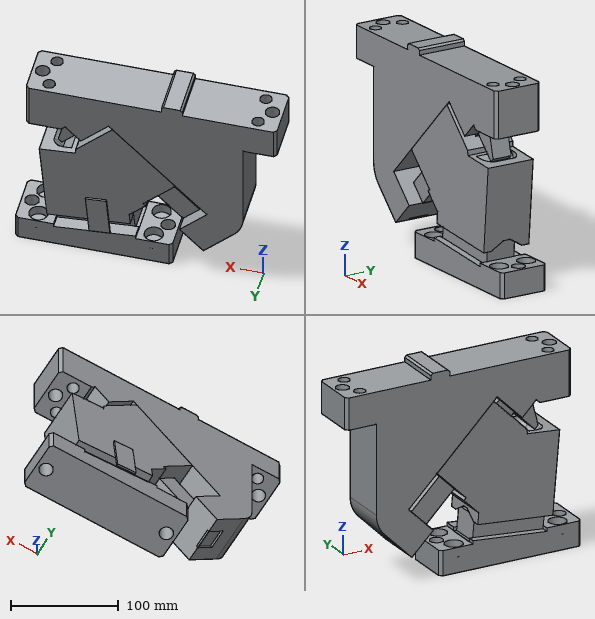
import cadquery as cq
import math


width = 50.0
corner_chamfer = 3.0
hole_row_offset = 15.0
small_hole_inset = 20.0
pin_hole_inset = 10.0
pin_hole_diameter = 13.2

slide_x = 66.5
slide_z = 74.5
slide_angle = math.radians(45)
slide_length = 133.0

press_x = 139.8
press_z = 44.0
press_tilt = math.radians(5)

holder_length = 239.8
holder_top = 200.0
left_flange_thickness = 32.5
right_flange_thickness = 46.8
leg_x = 32.0
leg_radius = 30.0
foot_thickness = 32.2
foot_depth = 37.0
mouth_depth = 37.5
key_center_x = 100.0
key_width = 20.0
key_height = 6.5
key_chamfer = 2.0
holder_hole_diameter = 11.2
nose_length = 21.2
nose_step = 3.5

bar_top_depth = 15.0
bar_width = 20.0
bar_end_recess = 2.2
bar_floor_depth = 36.5
lug_tip_depth = 68.2
lug_tip_length = 5.0

slider_start = 42.5
slider_end = 127.8
step_depth = 43.5
step_out = 3.2
shoulder_depth = 49.8
shoulder_along = 45.5
slider_length = 80.0
slider_height = 85.0
relief_floor_depth = 72.0
relief_width = 37.5
relief_radius = 10.0
stop_plate_along = 20.2
stop_plate_width = 20.0
stop_plate_bottom = -13.8
stop_plate_height = 41.8
stop_plate_thickness = 2.0

base_left = 99.8
base_right = 250.0
base_height = 25.5
pad_left = 134.8
ridge_length = 75.0
pad_drop = 15.5
ridge_root = -19.2
v_half_width = 17.8
ridge_width = 30.0
flank_angle = math.radians(32)
ridge_flank_start = -0.5
ridge_top = 6.0
groove_top = 8.5
relief_channel_floor = 25.0
screw_hole_diameter = 17.8
screw_hole_depth = 10.0


def slide_point(along, depth):
    """X, Z of a point given along the slide and square to it, away from the holder."""
    x = slide_x + along * math.cos(slide_angle) + depth * math.sin(slide_angle)
    z = slide_z + along * math.sin(slide_angle) - depth * math.cos(slide_angle)
    return x, z


def press_point(along, height):
    """X, Z of a point given along the slider's underside and square to it."""
    x = press_x + along * math.cos(press_tilt) + height * math.sin(press_tilt)
    z = press_z - along * math.sin(press_tilt) + height * math.cos(press_tilt)
    return x, z


def plate(points, thickness):
    """Prism of an X-Z outline, centred on the middle of the width."""
    return cq.Workplane("XZ").polyline(points).close().extrude(thickness / 2, both=True)


def slide_box(start, end, top, bottom, thickness):
    """Box lined up with the slide."""
    corners = [(start, top), (end, top), (end, bottom), (start, bottom)]
    return plate([slide_point(*corner) for corner in corners], thickness)


def vertical_holes(centers, diameter, top, depth):
    """Cylinders going down from the given top level."""
    return cq.Workplane("XY", origin=(0, 0, top)).pushPoints(centers).circle(diameter / 2).extrude(-depth)


def hole_pair(x):
    """Centres of two screw holes placed evenly about the middle of the width."""
    return [(x, -hole_row_offset), (x, hole_row_offset)]


def extrude_along_ridge(section, length):
    """Prism of a section given across the width and square to the slider's underside."""
    direction = (math.cos(press_tilt), 0, -math.sin(press_tilt))
    plane = cq.Plane(origin=(press_x, 0, press_z), xDir=(0, 1, 0), normal=direction)
    return cq.Workplane(plane).polyline(section).close().extrude(length)


def v_prism(top, bottom, length):
    """Prism with straight sides, sloping flanks and a flat top."""
    half = v_half_width
    top_half = half - (top - ridge_flank_start) / math.tan(flank_angle)
    section = [
        (-half, bottom),
        (half, bottom),
        (half, ridge_flank_start),
        (top_half, top),
        (-top_half, top),
        (-half, ridge_flank_start),
    ]
    return extrude_along_ridge(section, length)


def make_key():
    """Cross key with chamfered top edges."""
    half = key_width / 2
    top = holder_top + key_height
    outline = [
        (key_center_x - half, holder_top),
        (key_center_x - half, top - key_chamfer),
        (key_center_x - half + key_chamfer, top),
        (key_center_x + half - key_chamfer, top),
        (key_center_x + half, top - key_chamfer),
        (key_center_x + half, holder_top),
    ]
    return plate(outline, width)


def make_lug():
    """Wedge under the holder's nose that backs up the end of the guide bar."""
    nose_end = slide_length + nose_length
    corners = [
        (slide_length, mouth_depth),
        (nose_end, mouth_depth),
        (nose_end, mouth_depth + nose_step),
        (slide_length + lug_tip_length, lug_tip_depth),
        (slide_length, lug_tip_depth),
    ]
    return plate([slide_point(*corner) for corner in corners], bar_width)


def make_holder():
    """Upper body with its foot, key, lug and guide bar."""
    left_flange_bottom = holder_top - left_flange_thickness
    right_flange_bottom = holder_top - right_flange_thickness
    tip_x, tip_z = slide_point(-foot_thickness, foot_depth)
    nose_x, nose_z = slide_point(slide_length + nose_length, mouth_depth)
    outline = [
        (0, holder_top),
        (0, left_flange_bottom),
        (leg_x, left_flange_bottom),
        (leg_x, tip_z + tip_x - leg_x),
        (tip_x, tip_z),
        slide_point(0, foot_depth),
        slide_point(0, 0),
        slide_point(slide_length, 0),
        slide_point(slide_length, mouth_depth),
        (nose_x, nose_z),
        (nose_x + nose_z - right_flange_bottom, right_flange_bottom),
        (holder_length, right_flange_bottom),
        (holder_length, holder_top),
    ]
    body = plate(outline, width)
    bend = cq.selectors.NearestToPointSelector((leg_x, 0, tip_z + tip_x - leg_x))
    body = body.edges("|Y").edges(bend).fillet(leg_radius)
    body = body.faces("<X or >X").edges("|Z").chamfer(corner_chamfer)

    body = body.union(make_key()).union(make_lug())
    body = body.union(slide_box(0, slide_length, bar_top_depth, mouth_depth, bar_width))
    pocket_end = bar_end_recess - foot_thickness
    body = body.cut(slide_box(-foot_thickness, pocket_end, bar_top_depth, bar_floor_depth, bar_width))

    ends = [(0, 1), (holder_length, -1)]
    for end_x, inward in ends:
        screws = hole_pair(end_x + inward * small_hole_inset)
        pin = [(end_x + inward * pin_hole_inset, 0)]
        body = body.cut(vertical_holes(screws, holder_hole_diameter, holder_top, right_flange_thickness))
        body = body.cut(vertical_holes(pin, pin_hole_diameter, holder_top, right_flange_thickness))
    return body


def make_lug_relief():
    """Round-bottomed trough in the slider's shoulder that clears the holder's lug."""
    end = slide_length + nose_length
    trough = slide_box(slider_end, end, mouth_depth, relief_floor_depth, relief_width)
    floor = cq.selectors.DirectionMinMaxSelector(cq.Vector(1, 0, -1), True)
    along_slide = cq.selectors.ParallelDirSelector(cq.Vector(1, 0, 1))
    return trough.faces(floor).edges(along_slide).fillet(relief_radius)


def make_slider():
    """Sliding block with its bar slot, V-groove and a stop plate on the back."""
    step_along = slider_start - step_out
    origin_along = (press_x - slide_x) * math.cos(slide_angle) + (press_z - slide_z) * math.sin(slide_angle)
    left_height = (step_along - origin_along) / math.sin(slide_angle + press_tilt)
    outline = [
        slide_point(slider_start, 0),
        slide_point(slider_end, 0),
        slide_point(slider_end, shoulder_depth),
        press_point(shoulder_along, slider_height),
        press_point(slider_length, slider_height),
        press_point(slider_length, 0),
        press_point(0, 0),
        press_point(0, left_height),
        slide_point(step_along, step_depth),
        slide_point(slider_start, step_depth),
    ]
    body = plate(outline, width)

    body = body.cut(slide_box(0, slide_length, bar_top_depth, mouth_depth, bar_width))

    body = body.cut(make_lug_relief())
    body = body.cut(v_prism(groove_top, -pad_drop, slider_length))

    stop_right = stop_plate_along + stop_plate_width
    stop_top = stop_plate_bottom + stop_plate_height
    stop_outline = [
        press_point(stop_plate_along, stop_plate_bottom),
        press_point(stop_right, stop_plate_bottom),
        press_point(stop_right, stop_top),
        press_point(stop_plate_along, stop_top),
    ]
    stop = cq.Workplane("XZ", origin=(0, width / 2, 0)).polyline(stop_outline).close()
    return body.union(stop.extrude(-stop_plate_thickness))


def make_base():
    """Base block with a tilted pad, a narrower V-ridge set on it and mounting holes."""
    pad_start = (pad_left - press_point(0, -pad_drop)[0]) / math.cos(press_tilt)
    pad_end = press_point(ridge_length, -pad_drop)
    outline = [
        (base_left, 0),
        (base_right, 0),
        (base_right, base_height),
        (pad_end[0], base_height),
        pad_end,
        press_point(pad_start, -pad_drop),
        (pad_left, base_height),
        (base_left, base_height),
    ]
    body = plate(outline, width)
    body = body.faces("<X or >X").edges("|Z").chamfer(corner_chamfer)

    ridge_front = -v_half_width
    ridge_back = ridge_front + ridge_width
    channel_length = press_x - pad_left
    channel = cq.Workplane("XY", origin=(pad_left, ridge_front, relief_channel_floor))
    channel = channel.box(channel_length, ridge_width, base_height, centered=False)
    body = body.cut(channel)

    ridge = v_prism(ridge_top, ridge_root, ridge_length)
    back_side = [
        (ridge_back, ridge_root),
        (width, ridge_root),
        (width, groove_top),
        (ridge_back, groove_top),
    ]
    body = body.union(ridge.cut(extrude_along_ridge(back_side, ridge_length)))

    ends = [(base_left, 1), (base_right, -1)]
    for end_x, inward in ends:
        screws = hole_pair(end_x + inward * small_hole_inset)
        pin = [(end_x + inward * pin_hole_inset, 0)]
        body = body.cut(vertical_holes(screws, screw_hole_diameter, base_height, screw_hole_depth))
        body = body.cut(vertical_holes(pin, pin_hole_diameter, base_height, base_height))
    return body


holder = make_holder()
slider = make_slider()
base = make_base()

result = cq.Compound.makeCompound([holder.val(), slider.val(), base.val()])